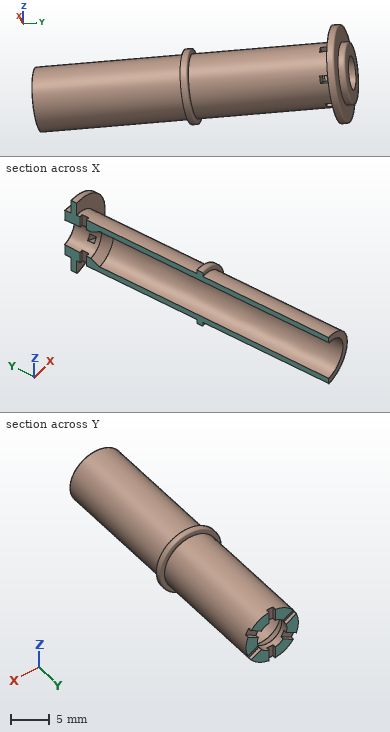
import cadquery as cq

length = 42.0
body_radius = 8.55 / 2
back_y = length / 2
front_y = -length / 2

neck_radius = 8.3 / 2
neck_length = 0.95
neck_fillet = 0.25

flange_radius = 13.0 / 2
flange_thickness = 1.0
flange_fillet = 0.25

flange_front_y = back_y - neck_length - flange_thickness

collar_radius = 10.0 / 2
collar_thickness = 1.0
collar_fillet = 0.2
collar_center_y = -0.5

mouth_radius = 6.55 / 2
bore_end_radius = 6.43 / 2
throat_front_radius = 4.85 / 2
throat_back_radius = 4.5 / 2
shoulder_length = 1.4
throat_length = 4.2

window_count = 6
window_width = 0.95
window_length = 1.0
window_gap = 0.5


def cylinder(radius, start_y, height):
    """Cylinder along +Y from start_y."""
    return cq.Workplane("XZ", origin=(0, start_y, 0)).circle(radius).extrude(-height)


def outer_body():
    tube = cylinder(body_radius, front_y, flange_front_y - front_y)
    neck = cylinder(neck_radius, flange_front_y, back_y - flange_front_y)
    neck = neck.faces(">Y").fillet(neck_fillet)
    flange = cylinder(flange_radius, flange_front_y, flange_thickness)
    flange = flange.faces(">Y").edges().fillet(flange_fillet)
    collar = cylinder(collar_radius, collar_center_y - collar_thickness / 2, collar_thickness)
    collar = collar.faces("<Y or >Y").fillet(collar_fillet)
    return tube.union(neck).union(flange).union(collar)


def bore():
    """Solid of revolution that is removed from the sleeve."""
    throat_y = back_y - throat_length
    return (
        cq.Workplane("XY")
        .moveTo(0, front_y)
        .lineTo(mouth_radius, front_y)
        .lineTo(bore_end_radius, throat_y - shoulder_length)
        .lineTo(throat_front_radius, throat_y)
        .lineTo(throat_back_radius, back_y)
        .lineTo(0, back_y)
        .close()
        .revolve(360, (0, 0, 0), (0, 1, 0))
    )


def windows():
    center_y = flange_front_y - window_gap - window_length / 2
    bar = cq.Workplane("XY").box(window_width, window_length, 2 * flange_radius)
    bar = bar.translate((0, center_y, 0))
    cutters = bar

    for index in range(1, window_count // 2):
        angle = index * 360 / window_count
        cutters = cutters.union(bar.rotate((0, 0, 0), (0, 1, 0), angle))
    return cutters


result = outer_body().cut(bore()).cut(windows())